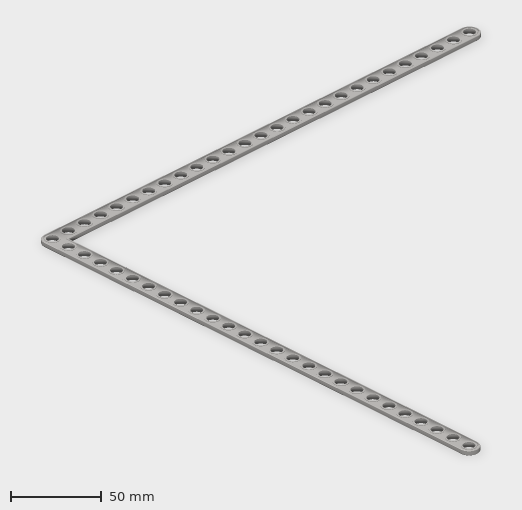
import cadquery as cq

leg_length = 337.5
hole_count = 27
thickness = 3.1
wall = 1.0
hole_diameter = 7.0
recess_depth = 0.27
edge_chamfer = 0.3

pitch = leg_length / hole_count
leg_width = pitch
row_length = leg_length - pitch
ring_diameter = hole_diameter + 2 * wall

x_row = [(i * pitch, 0) for i in range(hole_count)]
y_row = [(0, i * pitch) for i in range(1, hole_count)]
hole_centers = x_row + y_row


def angle_plate(inset, base, height):
    """L-shaped plate with round ends, its outline moved inward by inset."""
    length = leg_length - 2 * inset
    width = leg_width - 2 * inset
    level = cq.Workplane("XY").workplane(offset=base)
    x_leg = level.center(row_length / 2, 0).slot2D(length, width, 0).extrude(height)
    y_leg = level.center(0, row_length / 2).slot2D(length, width, 90).extrude(height)
    return x_leg.union(y_leg)


def cylinders(diameter, base, height):
    """One upright cylinder on every hole center."""
    level = cq.Workplane("XY").workplane(offset=base)
    return level.pushPoints(hole_centers).circle(diameter / 2).extrude(height)


plate = angle_plate(0, 0, thickness).faces("<Z or >Z").edges().chamfer(edge_chamfer)

floor = thickness - recess_depth
recess = angle_plate(wall, floor, recess_depth).cut(cylinders(ring_diameter, floor, recess_depth))

result = plate.cut(recess).cut(cylinders(hole_diameter, 0, thickness))